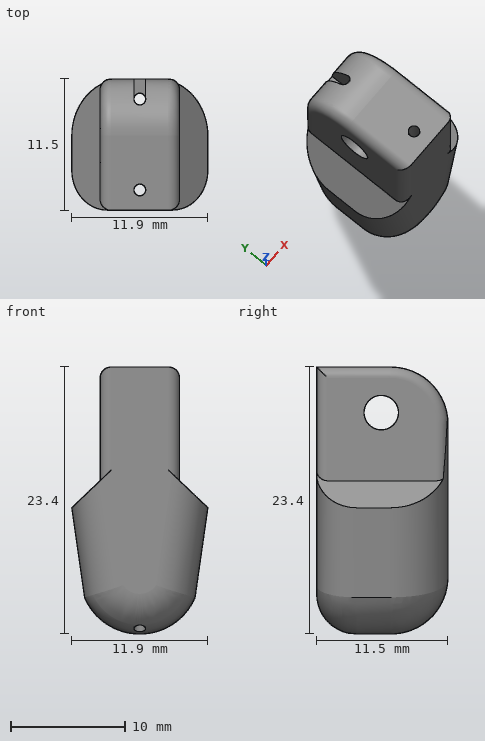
import cadquery as cq

height = 23.38
depth = 11.5

shoulder_half_width = 5.96
shoulder_z = 11.05
nose_half_width = 4.85
nose_z = 3.2
front_round = 3.5
back_round = 5.0

tongue_half_width = 3.48
tongue_base_z = 13.42
tongue_edge_round = 0.98

pin_diameter = 3.0
pin_y = 5.65
pin_z = 19.38
cord_diameter = 1.0
cord_inset = 1.78
groove_floor_z = height - back_round

overlap = 2.34
taper = (shoulder_half_width - nose_half_width) / (shoulder_z - nose_z)


def make_tapered_block():
    """Round-nosed wedge, full height, with both outline edges rounded."""
    top_half_width = nose_half_width + taper * (height - nose_z)
    block = (
        cq.Workplane("XZ")
        .moveTo(-top_half_width, height)
        .lineTo(-nose_half_width, nose_z)
        .threePointArc((0, 0), (nose_half_width, nose_z))
        .lineTo(top_half_width, height)
        .close()
        .extrude(-depth)
    )
    block = block.faces("<Y").edges("not >Z").fillet(front_round)
    return block.faces(">Y").edges("not >Z").fillet(back_round)


def make_roof():
    """Gabled prism whose two slopes are the shoulder planes."""
    slope = (tongue_base_z - shoulder_z) / (shoulder_half_width - tongue_half_width)
    ridge_z = shoulder_z + slope * shoulder_half_width
    eave_x = ridge_z / slope
    return (
        cq.Workplane("XZ")
        .polyline([(-eave_x, 0), (eave_x, 0), (0, ridge_z)])
        .close()
        .extrude(-depth)
    )


def make_tongue():
    """Flat slab with its upper back corner rounded and both side outlines filleted."""
    slab = (
        cq.Workplane("YZ")
        .rect(depth, height, centered=False)
        .extrude(tongue_half_width, both=True)
        .edges("|X and >Y and >Z")
        .fillet(back_round)
    )
    return slab.faces("<X or >X").edges("not <Z").fillet(tongue_edge_round)


def make_cord_hole(y):
    return cq.Workplane("XY").center(0, y).circle(cord_diameter / 2).extrude(height)


block = make_tapered_block()
lower_body = block.intersect(make_roof())
upper_body = block.intersect(make_tongue())
body = lower_body.union(upper_body)

pin_hole = (
    cq.Workplane("YZ")
    .center(pin_y, pin_z)
    .circle(pin_diameter / 2)
    .extrude(2 * shoulder_half_width, both=True)
)

rear_cord_y = depth - cord_inset
groove = cq.Workplane("XY").box(
    cord_diameter, cord_inset + overlap, height, centered=(True, False, False)
).translate((0, rear_cord_y, groove_floor_z))

result = (
    body.cut(pin_hole)
    .cut(make_cord_hole(cord_inset))
    .cut(make_cord_hole(rear_cord_y))
    .cut(groove)
)